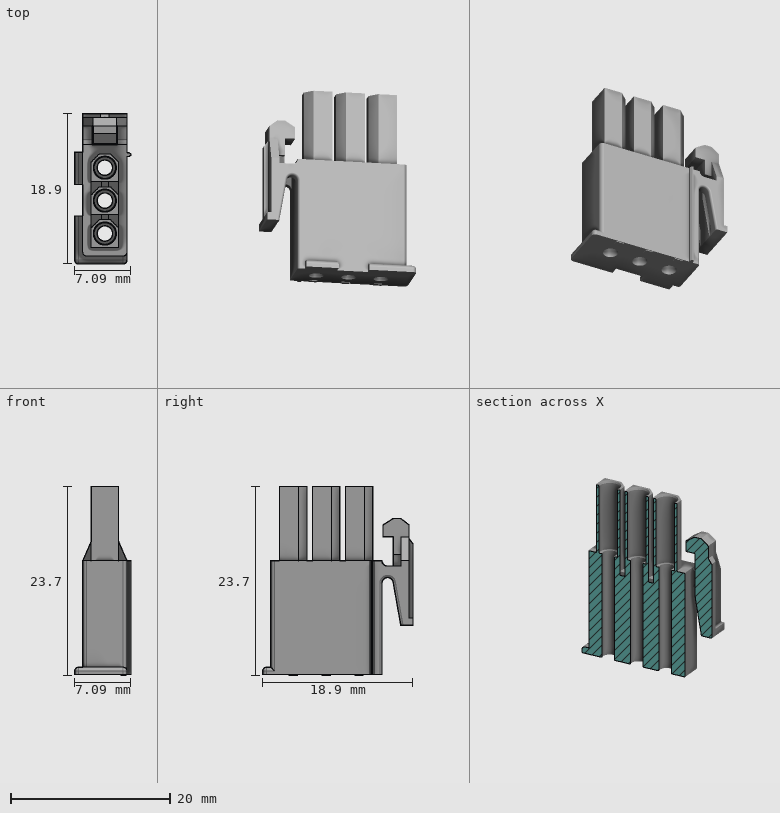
import cadquery as cq
import math


body_width = 5.55
body_depth = 13.98
body_height = 14.3
front_corner_radius = 0.5
half_width = body_width / 2

tower_count = 3
tower_pitch = 4.13
tower_size = 3.46
tower_chamfer = 1.05
tower_top = 23.64
first_tower_y = 2.82
bore_diameter = 2.7
contact_hole_diameter = 1.9
lead_in_diameter = 2.9
lead_in_depth = 0.24
gap_recess_depth = 2.37
gap_rib_width = 0.88
gap_rib_height = 0.47
bore_bottom = body_height
recess_floor = body_height - gap_recess_depth
rib_top = recess_floor + gap_rib_height
tower_centres = [first_tower_y + i * tower_pitch for i in range(tower_count)]

arch_radius = 0.7
arch_centre_z = 11.49
arch_edge_radius = 0.28
bridge_top = 13.65
post_front_y = body_depth + 2 * arch_radius
post_back_y = 16.33
plate_back_y = 17.37
latch_back_y = 17.87
arm_bottom = 6.2
arm_tip_y = 16.3
lip_top = 7.15
spine_width = 1.05
spine_top = 16.4
spine_chamfer_top = 17.06
gap_width = 3.13
stem_width = 1.8
stem_top = 15.1

head_width = 2.95
head_front_y = 14.07
head_bottom = 17.3
head_shoulder = 18.8
head_top = 19.6

flange_reach = 1.02
flange_height = 0.95
flange_radius = 0.5
corner_flange_end_y = 5.03
side_flange_start_y = 8.95
side_flange_end_y = 13.05

key_reach = 0.52
key_width = 0.52
key_centre_y = 12.72
key_tip_width = 0.15
key_straight = 0.24

mark_width = 0.62
mark_length = 1.05
mark_height = 0.1
mark_centre_x = 2.35


def block(x_min, x_max, y_min, y_max, z_min, z_max):
    size = (x_max - x_min, y_max - y_min, z_max - z_min)
    return cq.Workplane("XY").box(*size, centered=False).translate((x_min, y_min, z_min))


def centred_block(width, y_min, y_max, z_min, z_max):
    return block(-width / 2, width / 2, y_min, y_max, z_min, z_max)


def side_profile(points, width):
    """Extrude a (Y, Z) outline symmetrically about X = 0."""
    return cq.Workplane("YZ").polyline(points).close().extrude(width / 2, both=True)


def arch_tangent():
    """Point (Y, Z) where the sloped inner arm face touches the arch."""
    centre_y = body_depth + arch_radius
    dy = arm_tip_y - centre_y
    dz = arm_bottom - arch_centre_z
    angle = math.atan2(dz, dy) + math.acos(arch_radius / math.hypot(dy, dz))
    tangent_y = centre_y + arch_radius * math.cos(angle)
    tangent_z = arch_centre_z + arch_radius * math.sin(angle)
    return tangent_y, tangent_z


def make_body():
    """Body, latch bridges and arm as one outline extruded across the width."""
    arch_top = (body_depth + arch_radius, arch_centre_z + arch_radius)
    notch_radius = body_height - bridge_top
    notch_floor_start = (body_depth + notch_radius, bridge_top)
    notch_arc_middle = (
        body_depth + notch_radius * (1 - math.cos(math.radians(45))),
        body_height - notch_radius * math.sin(math.radians(45)),
    )
    body = (
        cq.Workplane("YZ")
        .moveTo(0, 0)
        .lineTo(0, body_height)
        .lineTo(body_depth, body_height)
        .threePointArc(notch_arc_middle, notch_floor_start)
        .lineTo(post_back_y, bridge_top)
        .lineTo(post_back_y, body_height)
        .lineTo(plate_back_y, body_height)
        .lineTo(plate_back_y, lip_top)
        .lineTo(latch_back_y, lip_top)
        .lineTo(latch_back_y, arm_bottom)
        .lineTo(arm_tip_y, arm_bottom)
        .lineTo(*arch_tangent())
        .threePointArc(arch_top, (body_depth, arch_centre_z))
        .lineTo(body_depth, 0)
        .close()
        .extrude(half_width, both=True)
    )
    body = body.edges("|Z and <Y").fillet(front_corner_radius)
    back_edge_z = arch_centre_z / 2
    for side in (-half_width, half_width):
        back_edge = cq.selectors.NearestToPointSelector((side, body_depth, back_edge_z))
        body = body.edges(back_edge).fillet(arch_edge_radius)
    return body


def make_latch_top():
    """Tapered plate, post, head and the spine along the back of the arm."""
    plate = (
        cq.Workplane("XZ", origin=(0, plate_back_y, 0))
        .polyline([
            (-half_width, body_height),
            (half_width, body_height),
            (head_width / 2, head_bottom),
            (-head_width / 2, head_bottom),
        ])
        .close()
        .extrude(plate_back_y - post_back_y)
    )
    post = centred_block(head_width, post_front_y, post_back_y, bridge_top, head_bottom)
    head = side_profile(
        [
            (head_front_y, head_bottom),
            (plate_back_y, head_bottom),
            (plate_back_y, head_shoulder),
            (post_back_y, head_top),
            (post_front_y, head_top),
            (head_front_y, head_shoulder),
        ],
        head_width,
    )
    spine = side_profile(
        [
            (plate_back_y, arm_bottom),
            (latch_back_y, arm_bottom),
            (latch_back_y, spine_top),
            (plate_back_y, spine_chamfer_top),
        ],
        spine_width,
    )
    return plate.union(post).union(head).union(spine)


def make_latch_gaps():
    """Gap between the bridges, and the grooves either side of the stem."""
    gap = centred_block(gap_width, body_depth, post_front_y, arm_bottom, body_height)
    grooves = centred_block(gap_width, post_front_y, post_back_y, arm_bottom, stem_top)
    stem = centred_block(stem_width, post_front_y, post_back_y, arm_bottom, stem_top)
    return gap.union(grooves.cut(stem))


def make_tower(centre_y):
    half = tower_size / 2
    tower = centred_block(tower_size, centre_y - half, centre_y + half, recess_floor, tower_top)
    return tower.edges("|Z and >Y").chamfer(tower_chamfer)


def make_tower_hole(centre_y):
    """Contact hole, wider tower bore and conical lead-in, bottom to top."""
    hole_radius = contact_hole_diameter / 2
    bore_radius = bore_diameter / 2
    lead_in_radius = lead_in_diameter / 2
    hole = (
        cq.Workplane("XZ")
        .polyline([
            (0, 0),
            (hole_radius, 0),
            (hole_radius, bore_bottom),
            (bore_radius, bore_bottom),
            (bore_radius, tower_top - lead_in_depth),
            (lead_in_radius, tower_top),
            (0, tower_top),
        ])
        .close()
        .revolve(360, (0, 0, 0), (0, 1, 0))
    )
    return hole.translate((0, centre_y, 0))


def gap_span(front_tower_y):
    """Y range from one tower's chamfer to the next tower's front face."""
    start = front_tower_y + tower_size / 2 - tower_chamfer
    end = front_tower_y + tower_pitch - tower_size / 2
    return start, end


def make_corner_flange():
    """Flange round the front and the front part of the -X side."""
    flange = block(
        -half_width - flange_reach, half_width, -flange_reach, corner_flange_end_y, 0, flange_height
    )
    flange = flange.edges("|Z and <Y").fillet(flange_radius)
    return flange.faces(">Z").edges("not >Y").fillet(flange_radius)


def make_side_flange():
    flange = block(
        -half_width - flange_reach, 0, side_flange_start_y, side_flange_end_y, 0, flange_height
    )
    return flange.edges("<X and >Z").fillet(flange_radius)


def make_key():
    root = key_width / 2
    tip = key_tip_width / 2
    return (
        cq.Workplane("XY", origin=(half_width, key_centre_y, 0))
        .polyline([
            (-key_reach, -root),
            (key_straight, -root),
            (key_reach, -tip),
            (key_reach, tip),
            (key_straight, root),
            (-key_reach, root),
        ])
        .close()
        .extrude(body_height)
    )


def make_mark(centre_y):
    mark = cq.Workplane("XY").box(mark_width, mark_length, mark_height, centered=(True, True, False))
    return mark.translate((mark_centre_x, centre_y, -mark_height))


result = make_body().union(make_latch_top()).cut(make_latch_gaps())

for y in tower_centres[:-1]:
    start, end = gap_span(y)
    result = result.cut(centred_block(tower_size, start, end, recess_floor, body_height))
    result = result.union(centred_block(gap_rib_width, start, end, recess_floor, rib_top))

result = result.union(make_corner_flange()).union(make_side_flange()).union(make_key())

for y in tower_centres:
    result = result.union(make_tower(y)).cut(make_tower_hole(y)).union(make_mark(y))